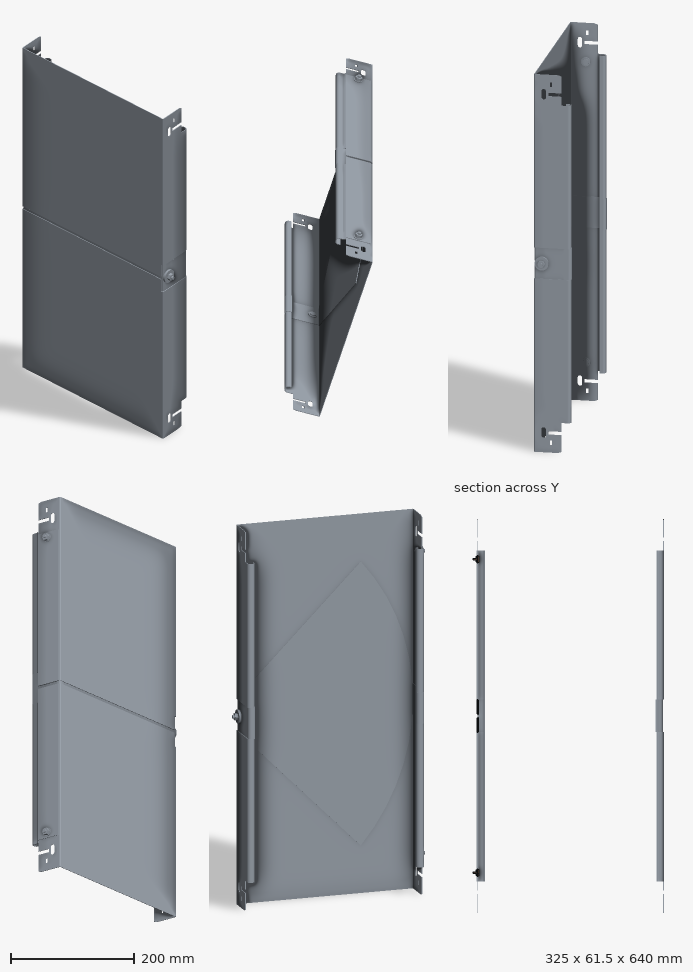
import cadquery as cq
import math


SHEET = 1.1
BEND_INNER = 0.5
BEND_OUTER = BEND_INNER + SHEET

TRAY_LENGTH = 640.0
TRAY_END = TRAY_LENGTH / 2
TRAY_HALF_WIDTH = 152.0
WALL_TOP = 45.5
HALF_GAP = 2.5
PIVOT_CUTBACK_X = 147.0
END_CORNER_DEPTH = 6.0
END_CORNER_DROP = 2.0

NOTCH_Z = 287.0
NOTCH_WIDTH = 6.0
NOTCH_BOTTOM = 24.0
SLOT_Y = 16.0
SLOT_WIDTH = 8.0
SLOT_LENGTH = 18.0
SMALL_HOLE_Y = 28.0
SMALL_HOLE_Z = 303.5
SMALL_HOLE_WIDTH = 4.0
SMALL_HOLE_LENGTH = 8.0

HOOK_TOP = 61.0
CONNECTOR_HOOK_TOP = 61.5
HOOK_WIDTH = 12.0
LIP_BOTTOM = 51.0
HOOK_BEND = 5.0

CONNECTOR_OUTER = TRAY_HALF_WIDTH - SHEET
CONNECTOR_HALF_LENGTH = 26.0
FAN_RADIUS = 365.0
FAN_CENTRE_X = 214.5
FAN_TIP_X = -61.0

RAIL_OUTER = TRAY_HALF_WIDTH + SHEET
LEAF_END = 264.0
LEAF_BOTTOM = 4.0
RAIL_HOOK_END = 269.0
JOGGLE_TOP = 49.0

BOLT_DIAMETER = 6.0
RAIL_BOLT_Y = 25.5
RAIL_BOLT_Z = 255.0
PIVOT_BOLT_Y = 13.0
HEAD_DIAMETER = 10.0
HEAD_HEIGHT = 3.5
HEAD_FLANGE_DIAMETER = 15.5
HEAD_FLANGE_HEIGHT = 2.0
NUT_ACROSS_CORNERS = 12.0
RAIL_WASHER_DIAMETER = 14.0
RAIL_WASHER_HEIGHT = 1.0
PIVOT_WASHER_DIAMETER = 23.0
PIVOT_WASHER_HEIGHT = 4.0
NUT_HEIGHT = 5.0
STUD_END = 3.0


def box(x0, x1, y0, y1, z0, z1):
    """Block between two values on each axis."""
    return cq.Workplane("XY").box(x1 - x0, y1 - y0, z1 - z0, centered=False).translate((x0, y0, z0))


def bore(x, y, z):
    """Cylinder along X that passes through the side wall at x."""
    reach = 13.0
    cylinder = cq.Workplane("YZ").center(y, z).circle(BOLT_DIAMETER / 2).extrude(reach, both=True)
    return cylinder.translate((x, 0, 0))


def channel(half_width, bottom, top, z0, z1):
    """U-shaped sheet with bent bottom corners."""
    outside = box(-half_width, half_width, bottom, top, z0, z1)
    outside = outside.edges("|Z and <Y").fillet(BEND_OUTER)
    inner = half_width - SHEET
    inside = box(-inner, inner, bottom + SHEET, top, z0, z1)
    inside = inside.edges("|Z and <Y").fillet(BEND_INNER)
    return outside.cut(inside)


def hook(outer_x, side, bottom, top, z0, z1):
    """Upright strip on the given side (+1 or -1) that curls inwards at its top."""
    inner_x = outer_x - SHEET
    lip_x = outer_x - HOOK_WIDTH
    outside = box(lip_x, outer_x, bottom, top, z0, z1)
    outside = outside.edges("|Z and >Y").fillet(HOOK_BEND)
    inside = box(lip_x + SHEET, inner_x, bottom, top - SHEET, z0, z1)
    inside = inside.edges("|Z and >Y").fillet(HOOK_BEND - SHEET)
    below_lip = box(lip_x, inner_x, bottom, LIP_BOTTOM, z0, z1)
    strip = outside.cut(inside).cut(below_lip)
    return strip if side > 0 else strip.mirror("YZ")


def wall_openings():
    """Open notch, slot and small rectangular hole, cut through both side walls."""
    reach = 2 * TRAY_HALF_WIDTH
    notch = box(
        -reach, reach, NOTCH_BOTTOM, WALL_TOP, NOTCH_Z - NOTCH_WIDTH / 2, NOTCH_Z + NOTCH_WIDTH / 2
    )
    slot = (
        cq.Workplane("YZ")
        .center(SLOT_Y, NOTCH_Z)
        .slot2D(SLOT_LENGTH, SLOT_WIDTH, 90)
        .extrude(reach, both=True)
    )
    small_hole = (
        cq.Workplane("YZ")
        .center(SMALL_HOLE_Y, SMALL_HOLE_Z)
        .rect(SMALL_HOLE_WIDTH, SMALL_HOLE_LENGTH)
        .extrude(reach, both=True)
    )
    corner = (
        cq.Workplane("YZ")
        .moveTo(WALL_TOP, TRAY_END)
        .lineTo(WALL_TOP - END_CORNER_DEPTH, TRAY_END)
        .lineTo(WALL_TOP, TRAY_END - END_CORNER_DROP)
        .close()
        .extrude(reach, both=True)
    )
    return notch.union(slot).union(small_hole).union(corner)


def make_tray_half():
    """Upper half of the tray, with its pivot-side wall cut back around the connector."""
    tray = channel(TRAY_HALF_WIDTH, 0, WALL_TOP, HALF_GAP, TRAY_END)
    pivot_cutback = box(
        PIVOT_CUTBACK_X, TRAY_HALF_WIDTH, 0, WALL_TOP, HALF_GAP, CONNECTOR_HALF_LENGTH
    )
    rail_bolt_hole = bore(-TRAY_HALF_WIDTH, RAIL_BOLT_Y, RAIL_BOLT_Z)
    pivot_side_hook = hook(TRAY_HALF_WIDTH, 1, WALL_TOP, HOOK_TOP, CONNECTOR_HALF_LENGTH, RAIL_HOOK_END)
    tray = tray.cut(wall_openings()).cut(pivot_cutback).cut(rail_bolt_hole)
    return tray.union(pivot_side_hook)


def make_fan():
    """Flat sector on the base with two 45 degree edges and an arc towards the -X wall."""
    right_x = CONNECTOR_OUTER - BEND_OUTER
    left_x = -right_x
    tip_z = math.sqrt(FAN_RADIUS**2 - (FAN_TIP_X - FAN_CENTRE_X) ** 2)
    right_z = tip_z - (right_x - FAN_TIP_X)
    sector = (
        cq.Workplane("XZ")
        .moveTo(right_x, -right_z)
        .lineTo(right_x, right_z)
        .lineTo(FAN_TIP_X, tip_z)
        .threePointArc((FAN_CENTRE_X - FAN_RADIUS, 0), (FAN_TIP_X, -tip_z))
        .close()
        .extrude(-SHEET)
    )
    within_walls = box(left_x, right_x, 0, SHEET, -tip_z, tip_z)
    return sector.intersect(within_walls).translate((0, SHEET, 0))


def make_connector():
    """Fan plate with a hooked upright on each side."""
    z0, z1 = -CONNECTOR_HALF_LENGTH, CONNECTOR_HALF_LENGTH
    connector = channel(CONNECTOR_OUTER, SHEET, WALL_TOP, z0, z1).union(make_fan())
    for side in (-1, 1):
        connector = connector.union(hook(CONNECTOR_OUTER, side, WALL_TOP, CONNECTOR_HOOK_TOP, z0, z1))
    return connector.cut(bore(CONNECTOR_OUTER, PIVOT_BOLT_Y, 0))


def make_rail():
    """Upper rail: a leaf outside the -X wall, joggled inwards over the wall into a hook."""
    leaf = box(-RAIL_OUTER, -TRAY_HALF_WIDTH, LEAF_BOTTOM, WALL_TOP, HALF_GAP, LEAF_END)
    joggle = (
        cq.Workplane("XY")
        .moveTo(-RAIL_OUTER, WALL_TOP)
        .lineTo(-TRAY_HALF_WIDTH, WALL_TOP)
        .lineTo(-CONNECTOR_OUTER + SHEET, JOGGLE_TOP)
        .lineTo(-CONNECTOR_OUTER, JOGGLE_TOP)
        .close()
        .extrude(RAIL_HOOK_END - CONNECTOR_HALF_LENGTH)
        .translate((0, 0, CONNECTOR_HALF_LENGTH))
    )
    curl = hook(CONNECTOR_OUTER, -1, JOGGLE_TOP, HOOK_TOP, CONNECTOR_HALF_LENGTH, RAIL_HOOK_END)
    rail = leaf.union(joggle).union(curl)
    return rail.cut(bore(-RAIL_OUTER, RAIL_BOLT_Y, RAIL_BOLT_Z))


def make_bolt(grip, washer_diameter, washer_height):
    """Bolt along +X with its washer and nut; the clamped sheets fill X from 0 to grip."""
    nut_base = grip + washer_height
    nut_top = nut_base + NUT_HEIGHT
    plane = cq.Workplane("YZ")
    shank = plane.circle(BOLT_DIAMETER / 2).extrude(nut_top + STUD_END)
    flange = plane.circle(HEAD_FLANGE_DIAMETER / 2).extrude(-HEAD_FLANGE_HEIGHT)
    head = plane.circle(HEAD_DIAMETER / 2).extrude(-HEAD_HEIGHT)
    washer = plane.workplane(offset=grip).circle(washer_diameter / 2).extrude(washer_height)
    nut = plane.workplane(offset=nut_base).polygon(6, NUT_ACROSS_CORNERS).extrude(NUT_HEIGHT)
    return shank.union(flange).union(head).union(washer).union(nut)


def make_rail_bolt():
    """Bolt through the -X wall and the upper rail, with its nut outside."""
    bolt = make_bolt(2 * SHEET, RAIL_WASHER_DIAMETER, RAIL_WASHER_HEIGHT).mirror("YZ")
    return bolt.translate((-TRAY_HALF_WIDTH + SHEET, RAIL_BOLT_Y, RAIL_BOLT_Z))


def make_pivot_bolt():
    """Bolt through the connector's +X upright, with its nut outside."""
    bolt = make_bolt(SHEET, PIVOT_WASHER_DIAMETER, PIVOT_WASHER_HEIGHT)
    return bolt.translate((CONNECTOR_OUTER - SHEET, PIVOT_BOLT_Y, 0))


def both_halves(body):
    """The +Z body and its mirror image in the -Z half."""
    return [body.val(), body.mirror("XY").val()]


tray_halves = both_halves(make_tray_half())
rails = both_halves(make_rail())
rail_bolts = both_halves(make_rail_bolt())
connector = make_connector()
pivot_bolt = make_pivot_bolt()

result = cq.Compound.makeCompound(
    [*tray_halves, *rails, *rail_bolts, connector.val(), pivot_bolt.val()]
)